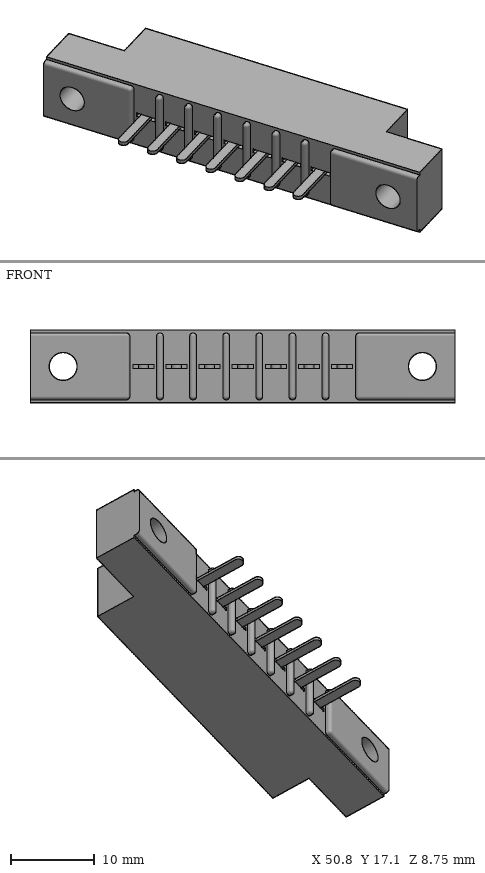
import cadquery as cq


length = 50.75
height = 8.75
wing_depth = 5.6
body_depth = 10.9
body_length = 35.65
hole_diameter = 3.3
hole_inset = 3.9

relief_height = 0.75
edge_radius = 0.38
relief_margin = 0.38
relief_length = height - 2 * relief_margin
rib_width = 0.8

pin_count = 7
pitch = 3.95
pin_width = 1.2
pin_thickness = 0.48
overall_depth = 17.1
pin_reach = overall_depth - body_depth
slot_width = 2.55
slot_depth = 2.55

pin_positions = [(i - (pin_count - 1) / 2) * pitch for i in range(pin_count)]
rib_positions = [x + pitch / 2 for x in pin_positions[:-1]]
pad_inner_x = 13.5
pad_length = length / 2 - pad_inner_x


def block(x_size, y_min, y_max, z_size):
    """Box centred on X and Z, spanning y_min to y_max."""
    return cq.Workplane("XY").box(x_size, y_max - y_min, z_size).translate((0, (y_min + y_max) / 2, 0))


def make_pad(side):
    """Raised mounting pad, rounded everywhere except at the end of the housing."""
    outer_face, inner_face = ("<X", ">X") if side < 0 else (">X", "<X")
    pad = block(pad_length, -relief_height, 0, relief_length)
    pad = pad.faces(inner_face).edges("|Y").fillet(edge_radius)
    pad = pad.faces("<Y").edges(f"not {outer_face}").fillet(edge_radius)
    return pad.translate((side * (pad_inner_x + pad_length / 2), 0, 0))


def make_rib(x):
    """Upright rib with rounded corners and a rounded crest."""
    rib = block(rib_width, -relief_height, 0, relief_length)
    rib = rib.edges("|Y").fillet(edge_radius)
    rib = rib.faces("<Y").edges().fillet(edge_radius)
    return rib.translate((x, 0, 0))


def make_pin(x):
    """Flat pin with a round tip, standing on the floor of its slot."""
    tip_radius = pin_width / 2
    pin = (
        cq.Workplane("XY")
        .moveTo(-tip_radius, slot_depth)
        .lineTo(-tip_radius, tip_radius - pin_reach)
        .threePointArc((0, -pin_reach), (tip_radius, tip_radius - pin_reach))
        .lineTo(tip_radius, slot_depth)
        .close()
        .extrude(pin_thickness / 2, both=True)
    )
    return pin.translate((x, 0, 0))


def make_housing():
    body = block(length, 0, wing_depth, height).union(block(body_length, 0, body_depth, height))
    for side in (-1, 1):
        body = body.union(make_pad(side))
    for x in rib_positions:
        body = body.union(make_rib(x))

    hole_x = length / 2 - hole_inset
    holes = (
        cq.Workplane("XZ", origin=(0, wing_depth, 0))
        .pushPoints([(-hole_x, 0), (hole_x, 0)])
        .circle(hole_diameter / 2)
        .extrude(wing_depth + relief_height)
    )
    body = body.cut(holes)

    for x in pin_positions:
        body = body.cut(block(slot_width, 0, slot_depth, pin_thickness).translate((x, 0, 0)))
    return body


housing = make_housing()
pins = [make_pin(x) for x in pin_positions]

result = cq.Compound.makeCompound([housing.val(), *[pin.val() for pin in pins]])